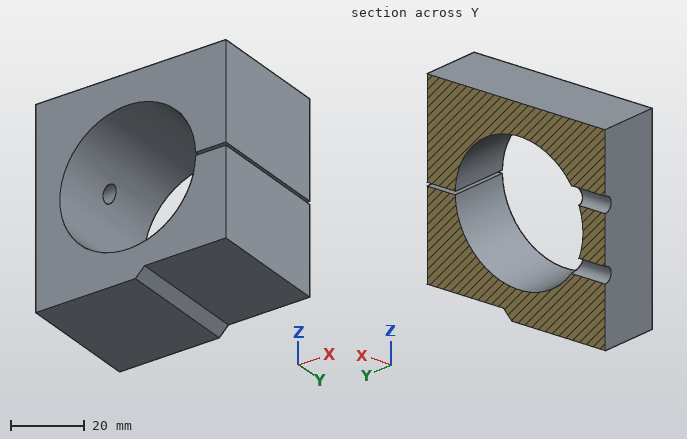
import cadquery as cq

width = 63.0
depth = 40.0
height = 65.0

bore_diameter = 45.0
bore_x = 30.5
bore_z = height / 2
slit_height = 1.0

step_x = 33.0
step_height = 3.05

side_hole_diameter = 5.0
side_hole_spacing = 20.7


def make_block():
    outline = [
        (0, 0),
        (step_x, 0),
        (step_x + step_height, step_height),
        (width, step_height),
        (width, height),
        (0, height),
    ]
    return cq.Workplane("XZ").polyline(outline).close().extrude(-depth)


def make_bore():
    return cq.Workplane("XZ").center(bore_x, bore_z).circle(bore_diameter / 2).extrude(-depth)


def make_slit():
    slit_length = width - bore_x
    slit = cq.Workplane("XY").box(slit_length, depth, slit_height, centered=(False, False, True))
    return slit.translate((bore_x, 0, bore_z))


def make_side_holes():
    offset = side_hole_spacing / 2
    return (
        cq.Workplane("YZ")
        .pushPoints([(depth / 2, bore_z - offset), (depth / 2, bore_z + offset)])
        .circle(side_hole_diameter / 2)
        .extrude(bore_x)
    )


result = make_block().cut(make_bore()).cut(make_slit()).cut(make_side_holes())